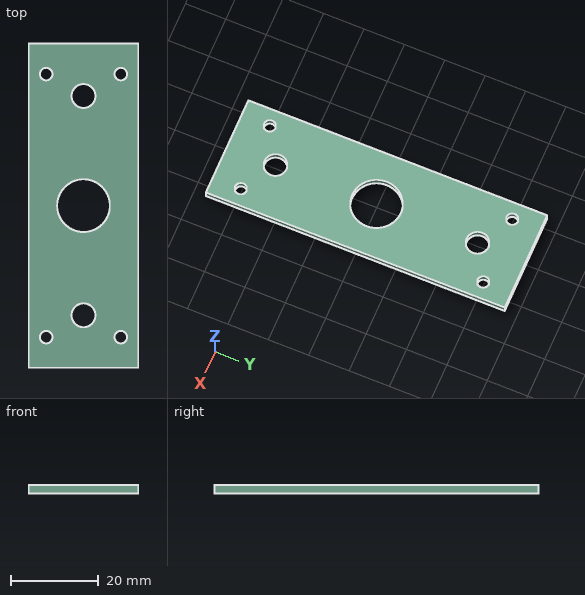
import cadquery as cq

width = 25.0
length = 74.0
thickness = 2.0

center_hole_diameter = 12.0
side_hole_diameter = 5.4
side_hole_spacing = 50.0
corner_hole_diameter = 2.8
corner_hole_spacing_x = 17.0
corner_hole_spacing_y = 60.0

plate = cq.Workplane("XY").box(width, length, thickness)

plate = plate.faces(">Z").workplane().hole(center_hole_diameter)

plate = (
    plate.faces(">Z").workplane()
    .rarray(0.75, side_hole_spacing, 1, 2)
    .hole(side_hole_diameter)
)

plate = (
    plate.faces(">Z").workplane()
    .rarray(corner_hole_spacing_x, corner_hole_spacing_y, 2, 2)
    .hole(corner_hole_diameter)
)

result = plate